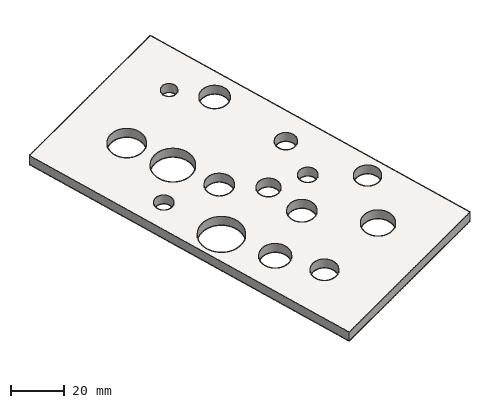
import cadquery as cq

LENGTH = 148.97
WIDTH = 75.59
THICKNESS = 5.0

HOLES = [
    (-52.4, 19.9, 6.5),
    (-36.7, 27.25, 11.8),
    (-2.05, 25.3, 8.7),
    (14.65, 16.6, 7.7),
    (32.75, 29.65, 10.6),
    (50.2, 12.8, 13.2),
    (6.7, 2.7, 9.4),
    (23.7, 0.75, 11.4),
    (-8.9, -7.1, 11.4),
    (-28.65, -9.6, 17.0),
    (-49.1, -11.0, 14.8),
    (-20.1, -26.75, 7.6),
    (6.75, -26.75, 18.1),
    (29.3, -23.4, 12.4),
    (48.25, -18.05, 10.8),
]


def make_plate():
    return cq.Workplane("XY").box(LENGTH, WIDTH, THICKNESS, centered=(True, True, False))


def drill_hole(plate, center_x, center_y, diameter):
    cutter = cq.Workplane("XY").center(center_x, center_y).circle(diameter / 2).extrude(THICKNESS)
    return plate.cut(cutter)


result = make_plate()
for hole_x, hole_y, hole_diameter in HOLES:
    result = drill_hole(result, hole_x, hole_y, hole_diameter)